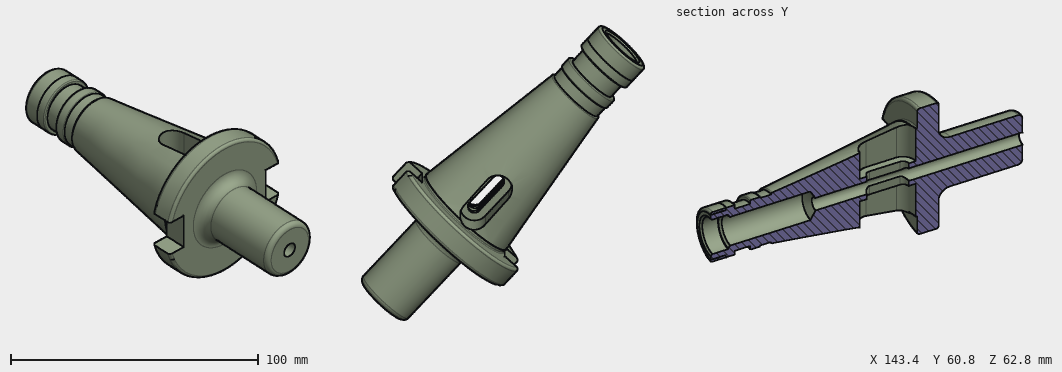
import cadquery as cq
import math


LENGTH = 143.4
COLLAR_LENGTH = 7.2
GROOVE_START = 11.3
GROOVE_END = 18.2
LAND_END = 23.0
TAPER_START = 27.8
TAPER_END = 93.4
FLANGE_START = 95.0
FLANGE_END = 105.0

COLLAR_ROUND = 1.0
FLANGE_ROUND = 1.3
SHANK_ROUND = 2.2
SHANK_ROOT_ROUND = 5.0
TAPER_RELIEF_ROUND = 0.5
EDGE_ROUND = 0.5

SHANK_RADIUS = 12.5
LAND_RADIUS = SHANK_RADIUS
COLLAR_SEAT_RADIUS = 11.0
GROOVE_RADIUS = 10.6
NECK_RADIUS = LAND_RADIUS - EDGE_ROUND
TAPER_BIG_RADIUS = 22.2
TAPER_RELIEF_RADIUS = 22.0
TAPER_RATIO = 7 / 24
TAPER_SMALL_RADIUS = TAPER_BIG_RADIUS - (TAPER_END - TAPER_START) * TAPER_RATIO / 2
FLANGE_RADIUS = 31.4

COUNTERBORE_RADIUS = 8.5
COUNTERBORE_DEPTH = 8.0
COUNTERBORE_CHAMFER = 0.9
PILOT_BORE_RADIUS = 7.0
PILOT_BORE_END = 45.9
PILOT_MOUTH_CHAMFER = 1.0
DRILL_POINT_ANGLE = 120.0
THROUGH_BORE_RADIUS = 3.0

NOTCH_WIDTH = 15.8
NOTCH_FLOOR = 22.7

SLOT_CENTER = 81.5
SLOT_MOUTH_LENGTH = 25.5
SLOT_MOUTH_WIDTH = 11.6
SLOT_MOUTH_FLOOR = 5.7
SLOT_LENGTH = 19.2
SLOT_WIDTH = 5.2


def revolve_about_x(profile):
    """Turn a closed XY profile once around the X axis."""
    return profile.revolve(360, (0, 0, 0), (1, 0, 0))


def make_collar():
    """Thin ring seated on the narrow end, rounded at its outer front edge."""
    profile = (
        cq.Workplane("XY")
        .moveTo(0, COLLAR_SEAT_RADIUS)
        .lineTo(0, LAND_RADIUS - COLLAR_ROUND)
        .radiusArc((COLLAR_ROUND, LAND_RADIUS), COLLAR_ROUND)
        .lineTo(COLLAR_LENGTH, LAND_RADIUS)
        .lineTo(COLLAR_LENGTH, COLLAR_SEAT_RADIUS)
        .close()
    )
    return revolve_about_x(profile)


def make_arbor_blank():
    """Grooved neck, taper, flange and shank as one turned blank."""
    taper_edge_radius = TAPER_SMALL_RADIUS + EDGE_ROUND * TAPER_RATIO / 2
    profile = (
        cq.Workplane("XY")
        .moveTo(0, 0)
        .lineTo(0, COLLAR_SEAT_RADIUS)
        .lineTo(COLLAR_LENGTH, COLLAR_SEAT_RADIUS)
        .lineTo(COLLAR_LENGTH, LAND_RADIUS)
        .lineTo(GROOVE_START - EDGE_ROUND, LAND_RADIUS)
        .radiusArc((GROOVE_START, LAND_RADIUS - EDGE_ROUND), EDGE_ROUND)
        .lineTo(GROOVE_START, GROOVE_RADIUS)
        .lineTo(GROOVE_END, GROOVE_RADIUS)
        .lineTo(GROOVE_END, LAND_RADIUS - EDGE_ROUND)
        .radiusArc((GROOVE_END + EDGE_ROUND, LAND_RADIUS), EDGE_ROUND)
        .lineTo(LAND_END - EDGE_ROUND, LAND_RADIUS)
        .radiusArc((LAND_END, LAND_RADIUS - EDGE_ROUND), EDGE_ROUND)
        .lineTo(TAPER_START, NECK_RADIUS)
        .lineTo(TAPER_START, taper_edge_radius - EDGE_ROUND)
        .radiusArc((TAPER_START + EDGE_ROUND, taper_edge_radius), EDGE_ROUND)
        .lineTo(TAPER_END, TAPER_BIG_RADIUS)
        .lineTo(TAPER_END, TAPER_RELIEF_RADIUS)
        .lineTo(FLANGE_START - TAPER_RELIEF_ROUND, TAPER_RELIEF_RADIUS)
        .radiusArc((FLANGE_START, TAPER_RELIEF_RADIUS + TAPER_RELIEF_ROUND), -TAPER_RELIEF_ROUND)
        .lineTo(FLANGE_START, FLANGE_RADIUS - FLANGE_ROUND)
        .radiusArc((FLANGE_START + FLANGE_ROUND, FLANGE_RADIUS), FLANGE_ROUND)
        .lineTo(FLANGE_END - FLANGE_ROUND, FLANGE_RADIUS)
        .radiusArc((FLANGE_END, FLANGE_RADIUS - FLANGE_ROUND), FLANGE_ROUND)
        .lineTo(FLANGE_END, SHANK_RADIUS + SHANK_ROOT_ROUND)
        .radiusArc((FLANGE_END + SHANK_ROOT_ROUND, SHANK_RADIUS), -SHANK_ROOT_ROUND)
        .lineTo(LENGTH - SHANK_ROUND, SHANK_RADIUS)
        .radiusArc((LENGTH, SHANK_RADIUS - SHANK_ROUND), SHANK_ROUND)
        .lineTo(LENGTH, 0)
        .close()
    )
    return revolve_about_x(profile)


def make_arbor_bore():
    """Counterbore and pilot bore with a drill point, then a thin bore to the far end."""
    point_length = (PILOT_BORE_RADIUS - THROUGH_BORE_RADIUS) / math.tan(math.radians(DRILL_POINT_ANGLE / 2))
    profile = (
        cq.Workplane("XY")
        .moveTo(0, 0)
        .lineTo(0, COUNTERBORE_RADIUS + COUNTERBORE_CHAMFER)
        .lineTo(COUNTERBORE_CHAMFER, COUNTERBORE_RADIUS)
        .lineTo(COUNTERBORE_DEPTH, COUNTERBORE_RADIUS)
        .lineTo(COUNTERBORE_DEPTH, PILOT_BORE_RADIUS + PILOT_MOUTH_CHAMFER)
        .lineTo(COUNTERBORE_DEPTH + PILOT_MOUTH_CHAMFER, PILOT_BORE_RADIUS)
        .lineTo(PILOT_BORE_END, PILOT_BORE_RADIUS)
        .lineTo(PILOT_BORE_END + point_length, THROUGH_BORE_RADIUS)
        .lineTo(LENGTH, THROUGH_BORE_RADIUS)
        .lineTo(LENGTH, 0)
        .close()
    )
    return revolve_about_x(profile)


def make_flange_notch(side):
    """Block that cuts one driving notch on the given side of the flange (+1 or -1 along Y)."""
    depth = FLANGE_RADIUS - NOTCH_FLOOR
    block = cq.Workplane("XY").box(FLANGE_END - FLANGE_START, depth, NOTCH_WIDTH)
    middle_x = (FLANGE_START + FLANGE_END) / 2
    return block.translate((middle_x, side * (NOTCH_FLOOR + depth / 2), 0))


def make_slot_cutter(length, width, bottom, top):
    """Upright round-ended block on the slot centre."""
    base = cq.Workplane("XY", origin=(SLOT_CENTER, 0, bottom))
    return base.slot2D(length, width).extrude(top - bottom)


def make_arbor():
    """Taper arbor with its axial bore, driving notches and drift slot."""
    arbor = make_arbor_blank().cut(make_arbor_bore())
    for side in (-1, 1):
        arbor = arbor.cut(make_flange_notch(side))
    reach = TAPER_BIG_RADIUS
    mouths = [(SLOT_MOUTH_FLOOR, reach), (-reach, -SLOT_MOUTH_FLOOR)]
    for bottom, top in mouths:
        arbor = arbor.cut(make_slot_cutter(SLOT_MOUTH_LENGTH, SLOT_MOUTH_WIDTH, bottom, top))
    return arbor.cut(make_slot_cutter(SLOT_LENGTH, SLOT_WIDTH, -reach, reach))


collar = make_collar()
arbor = make_arbor()
result = cq.Compound.makeCompound([collar.val(), arbor.solids().val()])